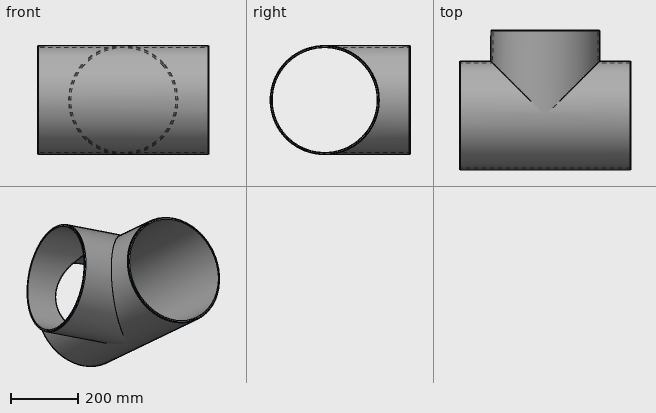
import cadquery as cq

run_length = 508.0
outer_diameter = 324.0
wall = 6.0
bevel_length = 3.0
bevel_depth = 1.8

half_run = run_length / 2
branch_length = half_run
outer_radius = outer_diameter / 2
inner_radius = outer_radius - wall

run = (
    cq.Workplane("XY")
    .polyline([
        (-half_run, 0),
        (-half_run, outer_radius - bevel_depth),
        (-half_run + bevel_length, outer_radius),
        (half_run - bevel_length, outer_radius),
        (half_run, outer_radius - bevel_depth),
        (half_run, 0),
    ])
    .close()
    .revolve(360, (0, 0, 0), (1, 0, 0))
)

branch = (
    cq.Workplane("XY")
    .polyline([
        (0, 0),
        (outer_radius, 0),
        (outer_radius, branch_length - bevel_length),
        (outer_radius - bevel_depth, branch_length),
        (0, branch_length),
    ])
    .close()
    .revolve(360, (0, 0, 0), (0, 1, 0))
)

run_bore = cq.Workplane("YZ").circle(inner_radius).extrude(half_run, both=True)
branch_bore = cq.Workplane("XZ").circle(inner_radius).extrude(-branch_length)

result = run.union(branch).cut(run_bore).cut(branch_bore)